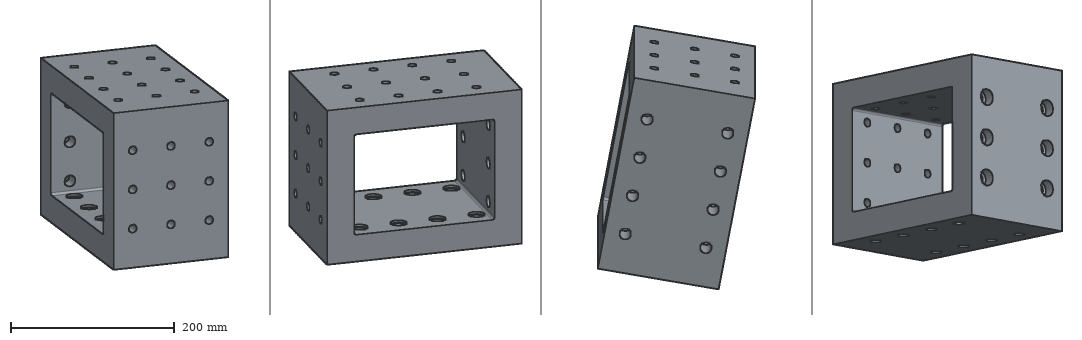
import cadquery as cq
import math

LENGTH = 250.0
WIDTH = 150.0
HEIGHT = 200.0
WALL = 35.0
WINDOW_CORNER_RADIUS = 3.0

PITCH = 50.0
THREE_ROWS = [-PITCH, 0.0, PITCH]
OUTER_ROWS = [-PITCH, PITCH]
FOUR_COLUMNS = [(i - 1.5) * PITCH for i in range(4)]

TOP_HOLE_DIAMETER = 10.11
RIGHT_HOLE_DIAMETER = 10.05
CLEARANCE_DIAMETER = 14.0
RECESS_DIAMETER = 20.0
FLOOR_RECESS_DEPTH = 3.0
LEFT_RECESS_DEPTH = 13.0
DRILL_POINT_ANGLE = 118.0

CORNER_RECESS_SHIFT = 2.65

DOWN = cq.Vector(0, 0, -1)
TOWARD_PLUS_X = cq.Vector(1, 0, 0)


def make_frame():
    """Block with a rounded rectangular window running through along Y."""
    block = cq.Workplane("XY").box(LENGTH, WIDTH, HEIGHT)
    window = (
        cq.Workplane("XY")
        .box(LENGTH - 2 * WALL, WIDTH, HEIGHT - 2 * WALL)
        .edges("|Y")
        .fillet(WINDOW_CORNER_RADIUS)
    )
    return block.cut(window)


def drill(body, points, direction, diameter, depth):
    """Cut a flat-ended hole of one size from each point along the direction."""
    for point in points:
        body = body.cut(cq.Workplane(cq.Solid.makeCylinder(diameter / 2, depth, point, direction)))
    return body


def cut_top_wall(body):
    """Plain holes through the top wall, in three rows of four."""
    points = [cq.Vector(x, y, HEIGHT / 2) for x in FOUR_COLUMNS for y in THREE_ROWS]
    return drill(body, points, DOWN, TOP_HOLE_DIAMETER, WALL)


def cut_floor(body):
    """Clearance holes through the floor, with shallow recesses inside the window."""
    floor_z = WALL - HEIGHT / 2
    holes = [cq.Vector(x, y, floor_z) for x in FOUR_COLUMNS for y in OUTER_ROWS]
    body = drill(body, holes, DOWN, CLEARANCE_DIAMETER, WALL)

    corner = cq.Vector(max(FOUR_COLUMNS), min(OUTER_ROWS), floor_z)
    shifted_corner = corner + cq.Vector(0, CORNER_RECESS_SHIFT, 0)
    recesses = [shifted_corner if hole == corner else hole for hole in holes]
    return drill(body, recesses, DOWN, RECESS_DIAMETER, FLOOR_RECESS_DEPTH)


def cut_left_wall(body):
    """Clearance holes through the -X wall, with outside recesses that end in a cone."""
    points = [cq.Vector(-LENGTH / 2, y, z) for y in OUTER_ROWS for z in THREE_ROWS]
    body = drill(body, points, TOWARD_PLUS_X, CLEARANCE_DIAMETER, WALL)
    body = drill(body, points, TOWARD_PLUS_X, RECESS_DIAMETER, LEFT_RECESS_DEPTH)

    recess_radius = RECESS_DIAMETER / 2
    clearance_radius = CLEARANCE_DIAMETER / 2
    cone_depth = (recess_radius - clearance_radius) / math.tan(math.radians(DRILL_POINT_ANGLE / 2))
    for point in points:
        cone_start = point + TOWARD_PLUS_X * LEFT_RECESS_DEPTH
        cone = cq.Solid.makeCone(recess_radius, clearance_radius, cone_depth, cone_start, TOWARD_PLUS_X)
        body = body.cut(cq.Workplane(cone))
    return body


def cut_right_wall(body):
    """Plain holes through the +X wall, in a three by three grid."""
    points = [cq.Vector(LENGTH / 2 - WALL, y, z) for y in THREE_ROWS for z in THREE_ROWS]
    return drill(body, points, TOWARD_PLUS_X, RIGHT_HOLE_DIAMETER, WALL)


frame = make_frame()
frame = cut_top_wall(frame)
frame = cut_floor(frame)
frame = cut_left_wall(frame)
result = cut_right_wall(frame)